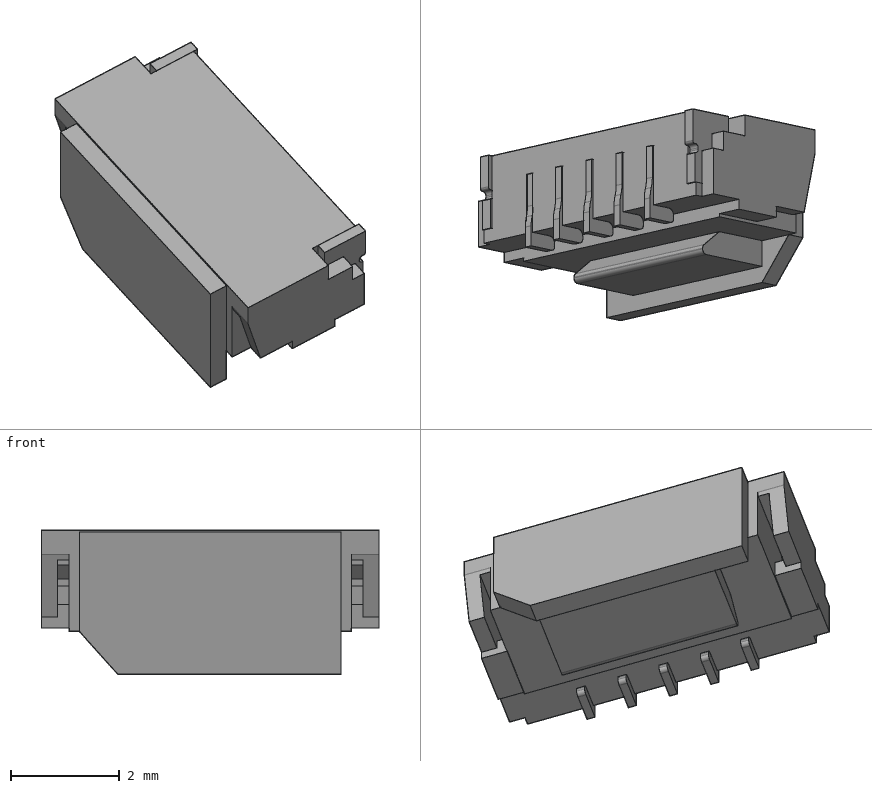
import cadquery as cq


length = 6.2
housing_back = 2.75
housing_top = 1.86
foot_step_y = 1.945
foot_step_z = 0.25

wing_width = 0.51
wing_bottom = 0.06
wing_back = 2.605
wing_step_y = 1.8
wing_step_z = 1.47
wing_low_step_y = 2.345
wing_low_step_z = 1.11
undercut_z = 0.265
undercut_y = 0.99
slope_bottom_y = 0.28
slope_top_z = 1.415
core_half = length / 2 - wing_width

clip_width = 0.21
clip_front = 1.92
clip_back = 2.84
clip_low_back = 2.785
clip_bottom = 0.495
slot_top = 1.315
notch_bottom = 1.05
notch_top = 1.215
notch_y = 2.705
notch_fillet = 0.07
lip_fillet = 0.05
selection_margin = 0.01
upper_arm_front = 1.365
upper_arm_nose_z = 1.22
throat_y = 1.61
throat_top = 0.96
lower_arm_front = 1.24
lower_arm_top = 0.83
slot_x = core_half + clip_width / 2

contact_count = 5
contact_pitch = 0.8
contact_width = 0.155
stem_front = 2.42
stem_back = 2.785
stem_top = 1.365
tail_back = clip_back
tail_front = 2.24
tail_bottom = -0.01
tail_top_fillet = 0.125
tail_bottom_fillet = 0.08
bend_top = 0.76
bend_bottom = 0.365
last_contact_shift = -0.055

plate_half = 2.405
plate_thickness = 0.36
plate_top = 1.82
plate_bottom = -0.79
plate_corner_x = 0.705
tongue_half = plate_half - plate_corner_x
tongue_bottom = -0.485
tongue_root_y = 1.09
tongue_tip_y = 1.52
tongue_tip_z = -0.335
tongue_fillet = 0.09


def across(profile, middle_x, width):
    """Extrude a YZ outline along X, centred on middle_x."""
    return profile.extrude(width / 2, both=True).translate((middle_x, 0, 0))


def outline(points):
    return cq.Workplane("YZ").polyline(points).close()


def block(x_middle, width, y_front, y_back, z_bottom, z_top):
    size_y = y_back - y_front
    size_z = z_top - z_bottom
    box = cq.Workplane("XY").box(width, size_y, size_z)
    return box.translate((x_middle, y_front + size_y / 2, z_bottom + size_z / 2))


def make_clip(side):
    """Fork-shaped metal clip with a notch in its back edge; side is -1 or +1."""
    profile = outline([
        (clip_front, housing_top),
        (clip_back, housing_top),
        (clip_back, notch_top),
        (notch_y, notch_top),
        (notch_y, notch_bottom),
        (clip_low_back, notch_bottom),
        (clip_low_back, clip_bottom),
        (lower_arm_front, clip_bottom),
        (lower_arm_front, lower_arm_top),
        (throat_y, lower_arm_top),
        (throat_y, throat_top),
        (upper_arm_front, upper_arm_nose_z),
        (upper_arm_front, slot_top),
        (clip_front, slot_top),
    ])
    clip = across(profile, side * slot_x, clip_width)
    notch_edges = cq.selectors.BoxSelector(
        (-length, notch_y - selection_margin, notch_bottom - selection_margin),
        (length, notch_y + selection_margin, notch_top + selection_margin),
    )
    lip_edge = cq.selectors.BoxSelector(
        (-length, clip_back - selection_margin, notch_top - selection_margin),
        (length, clip_back + selection_margin, notch_top + selection_margin),
    )
    clip = clip.edges("|X").edges(notch_edges).fillet(notch_fillet)
    return clip.edges("|X").edges(lip_edge).fillet(lip_fillet)


def make_contact(index):
    """Upright contact with a rounded solder tail under the housing."""
    bend_mid_y = (stem_back + tail_back) / 2
    bend_mid_z = (bend_top + bend_bottom) / 2
    profile = (
        cq.Workplane("YZ")
        .moveTo(stem_front, stem_top)
        .lineTo(stem_back, stem_top)
        .lineTo(stem_back, bend_top)
        .tangentArcPoint((bend_mid_y, bend_mid_z), relative=False)
        .tangentArcPoint((tail_back, bend_bottom), relative=False)
        .lineTo(tail_back, tail_bottom)
        .lineTo(tail_front, tail_bottom)
        .lineTo(tail_front, foot_step_z)
        .lineTo(stem_front, foot_step_z)
        .close()
    )
    contact = across(profile, contact_x(index), contact_width)
    contact = contact.faces("<Y").edges(">Z").fillet(tail_top_fillet)
    contact = contact.faces("<Y").edges("<Z").fillet(tail_bottom_fillet)
    return contact.translate((0, contact_shift(index), 0))


def contact_x(index):
    return (index - (contact_count - 1) / 2) * contact_pitch


def contact_shift(index):
    return last_contact_shift if index == contact_count - 1 else 0


def make_wing(side):
    """Stepped end block of the housing, with the slot and channel for the clip."""
    profile = outline([
        (0, housing_top),
        (wing_step_y, housing_top),
        (wing_step_y, wing_step_z),
        (wing_low_step_y, wing_step_z),
        (wing_low_step_y, wing_low_step_z),
        (wing_back, wing_low_step_z),
        (wing_back, foot_step_z),
        (foot_step_y, foot_step_z),
        (foot_step_y, wing_bottom),
        (undercut_y, wing_bottom),
        (undercut_y, undercut_z),
        (slope_bottom_y, undercut_z),
        (0, slope_top_z),
    ])
    wing = across(profile, side * (core_half + wing_width / 2), wing_width)
    x = side * slot_x
    open_front = block(x, clip_width, 0, undercut_y, wing_bottom, slot_top)
    clip_slot = block(x, clip_width, undercut_y, clip_front, clip_bottom, slot_top)
    clip_channel = block(x, clip_width, clip_front, housing_back, clip_bottom, housing_top)
    clip_shelf = block(x, clip_width, foot_step_y, housing_back, foot_step_z, clip_bottom)
    return wing.cut(open_front).cut(clip_slot).cut(clip_channel).union(clip_shelf)


def make_housing():
    core_profile = outline([
        (0, 0),
        (foot_step_y, 0),
        (foot_step_y, foot_step_z),
        (housing_back, foot_step_z),
        (housing_back, housing_top),
        (0, housing_top),
    ])
    housing = across(core_profile, 0, 2 * core_half)
    for side in (-1, 1):
        housing = housing.union(make_wing(side))
    for index in range(contact_count):
        pocket_front = stem_front + contact_shift(index)
        pocket = block(contact_x(index), contact_width, pocket_front, housing_back, foot_step_z, stem_top)
        housing = housing.cut(pocket)
    return housing


def make_front_plate():
    """Plate on the front face with one cut-off corner and a tongue under the housing."""
    plate = (
        cq.Workplane("XZ")
        .polyline([
            (-plate_half, plate_top),
            (plate_half, plate_top),
            (plate_half, plate_bottom),
            (-plate_half + plate_corner_x, plate_bottom),
            (-plate_half, 0),
        ])
        .close()
        .extrude(plate_thickness)
    )
    tongue_profile = outline([
        (0, 0),
        (tongue_root_y, 0),
        (tongue_tip_y, tongue_tip_z),
        (tongue_tip_y, tongue_bottom),
        (0, tongue_bottom),
    ])
    tongue = across(tongue_profile, 0, 2 * tongue_half)
    tongue = tongue.faces(">Y").edges("|X").fillet(tongue_fillet)
    return plate.union(tongue)


housing = make_housing()
front_plate = make_front_plate()
clips = [make_clip(side).val() for side in (-1, 1)]
contacts = [make_contact(index).val() for index in range(contact_count)]

result = cq.Compound.makeCompound([housing.val(), front_plate.val(), *clips, *contacts])